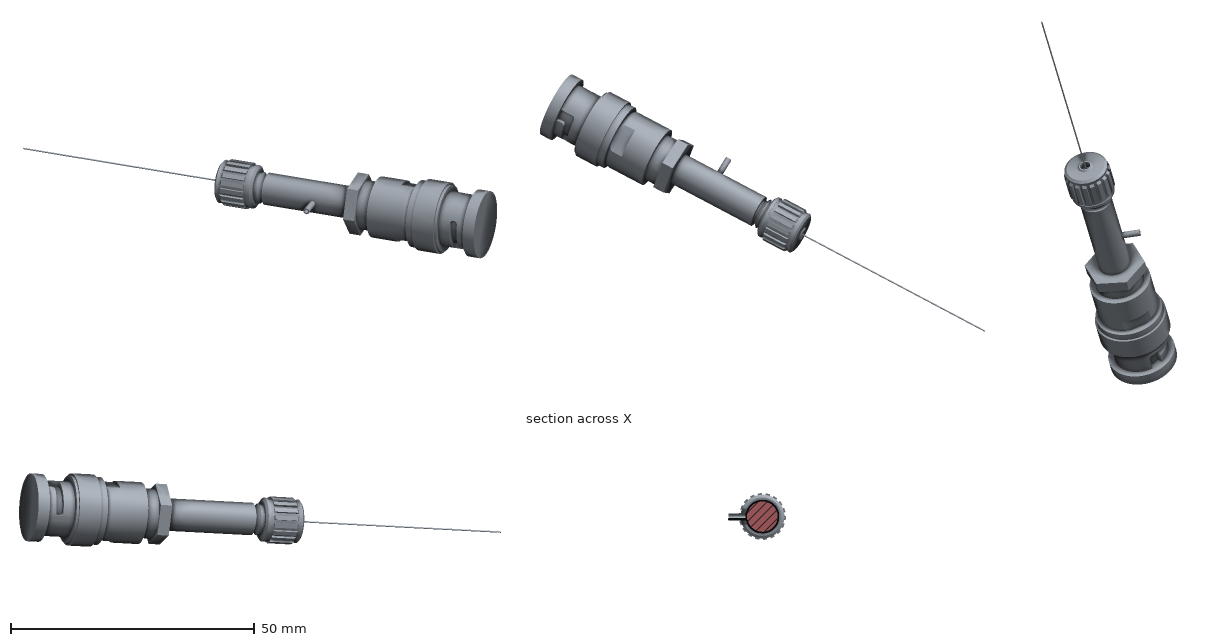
import cadquery as cq
TOTAL_LENGTH = 101.4
HALF_TURNS = (0, 180)

NEEDLE_DIA = 0.3
SEAT_START = 43.1
SEAT_DIA = 3.2
SEAT_TIP_DIA = 2.6
SEAT_BORE_DIA = 2.1
SEAT_BORE_DEPTH = 2.0

KNOB_START = 43.4
KNOB_DIA = 9.0
KNOB_FRONT_DIA = 7.9
KNOB_FRONT_BEVEL = 0.4
KNOB_WAIST_START = 44.4
KNOB_WAIST_DIA = 8.7
BACK_RIM_START = 50.6
BACK_RIM_END = 51.2
KNOB_END = 51.6
KNOB_BACK_DIA = 7.9
RIB_START = 44.6
RIB_END = 49.9
RIB_TIP_DIA = 9.6
RIB_BEVEL = 0.4
RIB_WIDTH = 0.9
RIB_COUNT = 18
RIB_PITCH = 360 / RIB_COUNT
FIRST_RIB_ANGLE = -3.6

NECK_DIA = 6.2
NECK_RIDGE_X = 52.4
NECK_RIDGE_DIA = 6.6
NECK_CONE_END = 53.1
NECK_WAIST_DIA = 5.0

TUBE_START = 53.6
TUBE_DIA = 6.7
PIN_X = 64.7
PIN_DIA = 1.3
PIN_REACH = 7.0
PIN_BORE_DIA = 0.8

NUT_START = 72.5
NUT_END = 75.0
NUT_CORNER_DIA = 12.8
NUT_ANGLE = 7.0

COLLAR_DIA = 10.2
BARREL_START = 77.7
BARREL_END = 86.5
BARREL_DIA = 12.8
BARREL_EDGE_LENGTH = 1.1
BARREL_END_DIA = 11.7
FLATS_START = 83.3
FLATS_ACROSS = 11.3
FLATS_ANGLE = -21.0

COUPLING_DIA = 14.0
GRIP_START = 88.0
GRIP_END = 92.7
GRIP_DIA = 14.9
COUPLING_END = 93.2
SLEEVE_DIA = 11.5
FLANGE_START = 99.0

GROOVE_FLOOR_DIA = 9.3
GROOVE_START = 95.6
GROOVE_WIDTH = 1.5
GROOVE_CORNER_RADIUS = 0.7
ENTRY_FROM_ANGLE = 41.0
ENTRY_TO_ANGLE = 66.0
RUN_END_ANGLE = -25.0


def turn(shape, angle):
    return shape.rotate((0, 0, 0), (1, 0, 0), angle)


def turned_body():
    needle_and_knob = [
        (0, NEEDLE_DIA / 2),
        (SEAT_START, NEEDLE_DIA / 2),
        (SEAT_START, SEAT_TIP_DIA / 2),
        (KNOB_START, SEAT_DIA / 2),
        (KNOB_START, KNOB_FRONT_DIA / 2),
        (KNOB_START + KNOB_FRONT_BEVEL, KNOB_DIA / 2),
        (KNOB_WAIST_START, KNOB_WAIST_DIA / 2),
        (BACK_RIM_START, KNOB_WAIST_DIA / 2),
        (BACK_RIM_START, KNOB_DIA / 2),
        (BACK_RIM_END, KNOB_DIA / 2),
        (KNOB_END, KNOB_BACK_DIA / 2),
        (KNOB_END, NECK_DIA / 2),
    ]
    neck_tube_and_barrel = [
        (NECK_RIDGE_X, NECK_DIA / 2),
        (NECK_RIDGE_X, NECK_RIDGE_DIA / 2),
        (NECK_CONE_END, NECK_WAIST_DIA / 2),
        (TUBE_START, NECK_WAIST_DIA / 2),
        (TUBE_START, TUBE_DIA / 2),
        (NUT_START, TUBE_DIA / 2),
        (NUT_START, COLLAR_DIA / 2),
        (BARREL_START, COLLAR_DIA / 2),
        (BARREL_START, BARREL_DIA / 2),
        (BARREL_END - BARREL_EDGE_LENGTH, BARREL_DIA / 2),
    ]
    coupling = [
        (BARREL_END, COUPLING_DIA / 2),
        (GRIP_START, COUPLING_DIA / 2),
        (GRIP_START, GRIP_DIA / 2),
        (GRIP_END, GRIP_DIA / 2),
        (GRIP_END, COUPLING_DIA / 2),
        (COUPLING_END, COUPLING_DIA / 2),
        (COUPLING_END, SLEEVE_DIA / 2),
        (FLANGE_START, SLEEVE_DIA / 2),
        (FLANGE_START, COUPLING_DIA / 2),
        (TOTAL_LENGTH, COUPLING_DIA / 2),
        (TOTAL_LENGTH, 0),
    ]
    profile = cq.Workplane("XY")
    for x, radius in needle_and_knob + neck_tube_and_barrel:
        profile = profile.lineTo(x, radius)
    profile = profile.tangentArcPoint((BARREL_END, BARREL_END_DIA / 2), relative=False)
    for x, radius in coupling:
        profile = profile.lineTo(x, radius)
    return profile.close().revolve(360, (0, 0, 0), (1, 0, 0))


def seat_bore():
    """Ring-shaped recess around the needle."""
    ring = cq.Workplane("YZ").workplane(offset=SEAT_START).circle(SEAT_BORE_DIA / 2).circle(NEEDLE_DIA / 2)
    return ring.extrude(SEAT_BORE_DEPTH)


def rib():
    """One knob rib pointing along +Y, its front end sloping down to the knob surface."""
    outline = [
        (RIB_START, 0),
        (RIB_START, KNOB_WAIST_DIA / 2),
        (RIB_START + RIB_BEVEL, RIB_TIP_DIA / 2),
        (RIB_END, RIB_TIP_DIA / 2),
        (RIB_END, 0),
    ]
    return cq.Workplane("XY").polyline(outline).close().extrude(RIB_WIDTH / 2, both=True)


def side_pin():
    pin = cq.Workplane("XZ").center(PIN_X, 0).circle(PIN_DIA / 2).extrude(PIN_REACH)
    return pin.faces("<Y").workplane().hole(PIN_BORE_DIA, PIN_REACH - TUBE_DIA / 2)


def nut():
    hexagon = cq.Workplane("YZ").workplane(offset=NUT_START).polygon(6, NUT_CORNER_DIA)
    return turn(hexagon.extrude(NUT_END - NUT_START), NUT_ANGLE)


def flat_cutter():
    """Block above the +Z flat of the barrel."""
    block = cq.Workplane("XY").workplane(offset=FLATS_ACROSS / 2)
    block = block.center(BARREL_END - (BARREL_END - FLATS_START) / 2, 0)
    block = block.rect(BARREL_END - FLATS_START, BARREL_DIA)
    return block.extrude(BARREL_DIA)


def sleeve_sector(start, end, from_angle, to_angle):
    """Part of the sleeve wall, from the groove floor to the sleeve surface."""
    wall = cq.Workplane("XY").moveTo(start, GROOVE_FLOOR_DIA / 2).lineTo(end, GROOVE_FLOOR_DIA / 2)
    wall = wall.lineTo(end, SLEEVE_DIA / 2).lineTo(start, SLEEVE_DIA / 2).close()
    return turn(wall.revolve(to_angle - from_angle, (0, 0, 0), (1, 0, 0)), from_angle)


def bayonet_groove():
    entry = sleeve_sector(GROOVE_START, FLANGE_START, ENTRY_FROM_ANGLE, ENTRY_TO_ANGLE)
    run = sleeve_sector(GROOVE_START, GROOVE_START + GROOVE_WIDTH, RUN_END_ANGLE, ENTRY_TO_ANGLE)
    groove = entry.union(run, clean=True)
    corners = groove.edges("%LINE").edges("not |X").edges("not >X")
    return corners.fillet(GROOVE_CORNER_RADIUS)


result = turned_body().cut(seat_bore()).union(side_pin()).union(nut())
for i in range(RIB_COUNT):
    result = result.union(turn(rib(), 180 + FIRST_RIB_ANGLE + i * RIB_PITCH))
for half_turn in HALF_TURNS:
    result = result.cut(turn(flat_cutter(), FLATS_ANGLE + half_turn))
    result = result.cut(turn(bayonet_groove(), half_turn))